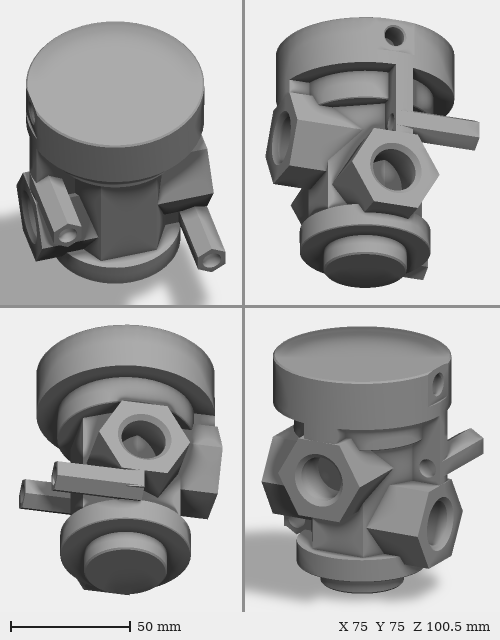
import cadquery as cq
import math

cap_radius = 75.0 / 2
spigot_radius = 35.0 / 2
flange_radius = 55.0 / 2
collar_radius = 28.7
flange_bottom_z = 8.5
flange_top_z = 18.4
collar_bottom_z = 67.0
cap_bottom_z = 79.4
cap_top_z = 100.5
large_chamfer = 0.7
small_chamfer = 0.4

body_across_flats = 42.0

port_across_flats = 34.0
port_bore_diameter = 19.0
port_chamfer = 2.0
left_port_z = 55.6
front_port_z = 31.4
back_port_z = 43.7

bar_across_flats = 12.1
bar_hole_diameter = 8.0
bar_offset = cap_radius - bar_across_flats / 2
front_bar_z = 55.0
back_bar_z = 22.5

bar_web_thickness = 7.8
left_web_width = 15.3

seat_width = 17.3
seat_bottom_z = 85.4
seat_y = -math.sqrt(cap_radius**2 - (seat_width / 2) ** 2)
gauge_z = 93.0
gauge_hole_diameter = 8.6
gauge_hole_depth = 12.1
gauge_chamfer = 0.7
drill_tip_angle = 118
drill_tip_depth = gauge_hole_diameter / 2 / math.tan(math.radians(drill_tip_angle / 2))


def corner_diameter(across_flats):
    return across_flats / math.cos(math.pi / 6)


def disc(radius, bottom_z, top_z):
    return cq.Workplane("XY").workplane(offset=bottom_z).circle(radius).extrude(top_z - bottom_z)


def box_between(x_range, y_range, z_range):
    spans = [high - low for low, high in (x_range, y_range, z_range)]
    corner = (x_range[0], y_range[0], z_range[0])
    return cq.Workplane("XY").box(*spans, centered=False).translate(corner)


def hex_body():
    """Hexagonal column with two corners on the Y axis."""
    return (
        cq.Workplane("XY")
        .workplane(offset=flange_top_z)
        .transformed(rotate=(0, 0, 90))
        .polygon(6, corner_diameter(body_across_flats))
        .extrude(collar_bottom_z - flange_top_z)
    )


def port(center_z, angle):
    """Bored hexagon pointing along -Y, then turned about Z by angle."""
    start = cq.Workplane("XZ", origin=(0, 0, center_z))
    boss = start.polygon(6, corner_diameter(port_across_flats)).extrude(cap_radius)
    bore = start.circle(port_bore_diameter / 2).extrude(cap_radius)
    bored = boss.cut(bore).faces("<Y").edges("%CIRCLE").chamfer(port_chamfer)
    return bored.rotate((0, 0, 0), (0, 0, 1), angle)


def bar_and_web(side, bar_z, web_z_range):
    """Hexagonal bar and its web, on the -Y (side=-1) or +Y (side=1) side."""
    bar = (
        cq.Workplane("YZ", origin=(0, side * bar_offset, bar_z))
        .transformed(rotate=(0, 0, 90))
        .polygon(6, corner_diameter(bar_across_flats))
        .extrude(cap_radius)
    )
    y_range = sorted((0, side * cap_radius))
    web = box_between((0, bar_web_thickness), y_range, web_z_range)
    return bar.union(web.intersect(disc(cap_radius, 0, cap_top_z)))


def bar_hole(side, bar_z):
    start = cq.Workplane("YZ", origin=(0, side * bar_offset, bar_z))
    return start.circle(bar_hole_diameter / 2).extrude(cap_radius)


def left_web():
    bottom_z = left_port_z + port_across_flats / 2
    half_width = left_web_width / 2
    web = box_between((-cap_radius, 0), (-half_width, half_width), (bottom_z, cap_bottom_z))
    return web.intersect(disc(cap_radius, 0, cap_top_z))


def gauge_hole():
    """Chamfered blind hole with a conical end, drilled along +Y."""
    radius = gauge_hole_diameter / 2
    profile = [
        (0, 0),
        (radius + gauge_chamfer, 0),
        (radius, gauge_chamfer),
        (radius, gauge_hole_depth),
        (0, gauge_hole_depth + drill_tip_depth),
    ]
    hole = cq.Workplane("XY").polyline(profile).close().revolve(360, (0, 0, 0), (0, 1, 0))
    return hole.translate((0, seat_y, gauge_z))


cap = disc(cap_radius, cap_bottom_z, cap_top_z).faces(">Z").edges().chamfer(large_chamfer)
seat_cut = box_between(
    (-seat_width, seat_width), (-2 * cap_radius, seat_y), (seat_bottom_z, cap_top_z)
)
cap = cap.cut(seat_cut).cut(gauge_hole())

collar = disc(collar_radius, collar_bottom_z, cap_bottom_z).faces("<Z").edges().chamfer(small_chamfer)
flange = disc(flange_radius, flange_bottom_z, flange_top_z).faces("<Z").edges().chamfer(small_chamfer)
spigot = disc(spigot_radius, 0, flange_bottom_z).faces("<Z").edges().chamfer(large_chamfer)

front_bar = bar_and_web(-1, front_bar_z, (front_port_z + port_across_flats / 2, cap_bottom_z))
back_bar = bar_and_web(1, back_bar_z, (flange_top_z, back_port_z - port_across_flats / 2))

result = cap
for section in (collar, hex_body(), flange, spigot, front_bar, back_bar, left_web()):
    result = result.union(section)
for port_z, angle in ((left_port_z, -90), (front_port_z, 0), (back_port_z, 180)):
    result = result.union(port(port_z, angle))
for side, bar_z in ((-1, front_bar_z), (1, back_bar_z)):
    result = result.cut(bar_hole(side, bar_z))